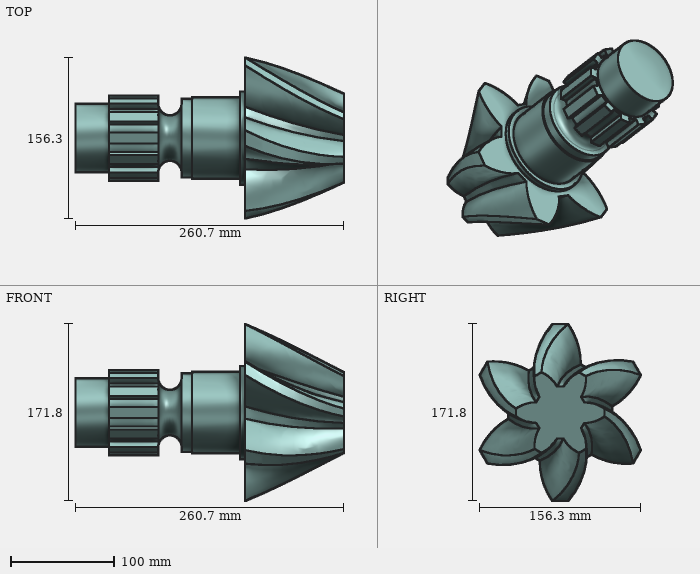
import cadquery as cq
import math

SPLINE_START = 32.5
SPLINE_END = 80.5
NECK_END = 103.0
SEAT_START = 113.1
FLANGE_START = 159.5
GEAR_START = 164.5
TOTAL_LENGTH = 260.7

END_RADIUS = 33.4
SPLINE_ROOT_RADIUS = 36.0
SHOULDER_RADIUS = 38.3
SEAT_RADIUS = 39.5
FLANGE_RADIUS = 45.4

SPLINE_COUNT = 12
SPLINE_WIDTH = 10.5
SPLINE_TIP = 41.5

TOOTH_COUNT = 6
OUTER_HEIGHT = 171.8
TOOTH_TIP = OUTER_HEIGHT / 2
TIP_HALF_WIDTH = 7.5
TOOTH_BASE = 46.7
BASE_HALF_WIDTH = 20.0
SMALL_END_SCALE = 0.5
TWIST = 30.0
SECTION_COUNT = 7


def make_shaft():
    """Turned body with a half-round groove behind the splines."""
    neck_middle = (SPLINE_END + NECK_END) / 2
    groove_radius = (NECK_END - SPLINE_END) / 2
    profile = (
        cq.Workplane("XY")
        .lineTo(0, END_RADIUS)
        .lineTo(SPLINE_START, END_RADIUS)
        .lineTo(SPLINE_START, SPLINE_ROOT_RADIUS)
        .lineTo(SPLINE_END, SPLINE_ROOT_RADIUS)
        .lineTo(SPLINE_END, END_RADIUS)
        .threePointArc((neck_middle, END_RADIUS - groove_radius), (NECK_END, END_RADIUS))
        .lineTo(NECK_END, SHOULDER_RADIUS)
        .lineTo(SEAT_START, SHOULDER_RADIUS)
        .lineTo(SEAT_START, SEAT_RADIUS)
        .lineTo(FLANGE_START, SEAT_RADIUS)
        .lineTo(FLANGE_START, FLANGE_RADIUS)
        .lineTo(GEAR_START, FLANGE_RADIUS)
        .lineTo(GEAR_START, 0)
        .close()
    )
    return profile.revolve(360, (0, 0, 0), (1, 0, 0))


def make_splines():
    """Flat-topped bars spaced evenly around the shaft."""
    length = SPLINE_END - SPLINE_START
    bar = cq.Workplane("XY").box(
        length, SPLINE_WIDTH, SPLINE_TIP, centered=(False, True, False)
    ).translate((SPLINE_START, 0, 0))
    splines = bar
    for index in range(1, SPLINE_COUNT):
        angle = index * 360 / SPLINE_COUNT
        splines = splines.union(bar.rotate((0, 0, 0), (1, 0, 0), angle))
    return splines


def gear_section(fraction):
    """Closed tooth outline at a fraction of the face width from the large end."""
    x = GEAR_START + fraction * (TOTAL_LENGTH - GEAR_START)
    scale = 1 - fraction * (1 - SMALL_END_SCALE)

    rise = TOOTH_TIP - TOOTH_BASE
    inset = BASE_HALF_WIDTH - TIP_HALF_WIDTH
    flank_radius = (rise**2 + inset**2) / (2 * inset)
    half_sweep = math.asin(rise / flank_radius) / 2
    middle_half_width = BASE_HALF_WIDTH - flank_radius * (1 - math.cos(half_sweep))
    middle_height = TOOTH_BASE + flank_radius * math.sin(half_sweep)

    edges = []
    previous_base = None
    for index in range(TOOTH_COUNT + 1):
        angle = math.radians(fraction * TWIST + index * 360 / TOOTH_COUNT)

        def place(across, height):
            y = across * math.cos(angle) - height * math.sin(angle)
            z = across * math.sin(angle) + height * math.cos(angle)
            return cq.Vector(x, scale * y, scale * z)

        near_base = place(BASE_HALF_WIDTH, TOOTH_BASE)
        if previous_base is not None:
            edges.append(cq.Edge.makeLine(previous_base, near_base))
        if index == TOOTH_COUNT:
            break
        near_middle = place(middle_half_width, middle_height)
        near_tip = place(TIP_HALF_WIDTH, TOOTH_TIP)
        far_tip = place(-TIP_HALF_WIDTH, TOOTH_TIP)
        far_middle = place(-middle_half_width, middle_height)
        far_base = place(-BASE_HALF_WIDTH, TOOTH_BASE)
        edges.append(cq.Edge.makeThreePointArc(near_base, near_middle, near_tip))
        edges.append(cq.Edge.makeLine(near_tip, far_tip))
        edges.append(cq.Edge.makeThreePointArc(far_tip, far_middle, far_base))
        previous_base = far_base
    return cq.Wire.assembleEdges(edges)


def make_gear():
    """Teeth and hub that shrink and twist evenly toward the small end."""
    last = SECTION_COUNT - 1
    sections = [gear_section(index / last) for index in range(SECTION_COUNT)]
    return cq.Workplane(cq.Solid.makeLoft(sections))


result = make_shaft().union(make_splines()).union(make_gear())